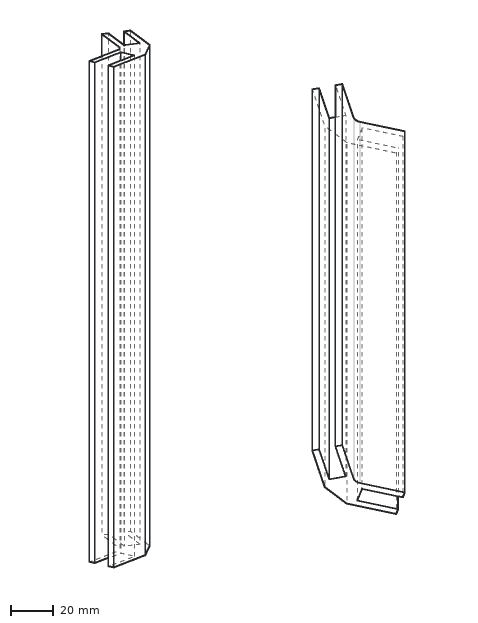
import cadquery as cq
import math

height = 250.0
bend_angle = 60.0
overall_width = 50.0
arm_thickness = 14.8
slot_width = 8.0
slot_depth = 20.2
corner_cut = 8.8
inner_radius = 4.2

bend = math.radians(bend_angle)
arm_length = (overall_width - arm_thickness * math.sin(bend)) / (1 + math.cos(bend))
half_bend_tangent = math.tan(bend / 2)
outer_length = arm_length + arm_thickness * half_bend_tangent


def arm():
    """Mitred arm along X, with the inner corner of the bend at the origin."""
    return (
        cq.Workplane("XY")
        .moveTo(-arm_length, 0)
        .lineTo(0, 0)
        .lineTo(outer_length - arm_length, arm_thickness)
        .lineTo(-arm_length, arm_thickness)
        .close()
        .extrude(height)
    )


def slot():
    """Channel opening at the free end of the arm, centred in its thickness."""
    return (
        cq.Workplane("XY")
        .center(-arm_length + slot_depth / 2, arm_thickness / 2)
        .rect(slot_depth, slot_width)
        .extrude(height)
    )


def mirror_across_bend(body):
    """Copy of the body reflected in the mitre plane, as the second arm."""
    return body.mirror("YZ").rotate((0, 0, 0), (0, 0, 1), -bend_angle)


profile = arm().union(mirror_across_bend(arm())).clean()

outer_corner = (outer_length - arm_length, arm_thickness, height / 2)
inner_corner = (0, 0, height / 2)
outer_edge = cq.selectors.NearestToPointSelector(outer_corner)
inner_edge = cq.selectors.NearestToPointSelector(inner_corner)
profile = profile.edges("|Z").edges(outer_edge).chamfer(corner_cut)
profile = profile.edges("|Z").edges(inner_edge).fillet(inner_radius)

result = profile.cut(slot()).cut(mirror_across_bend(slot()))